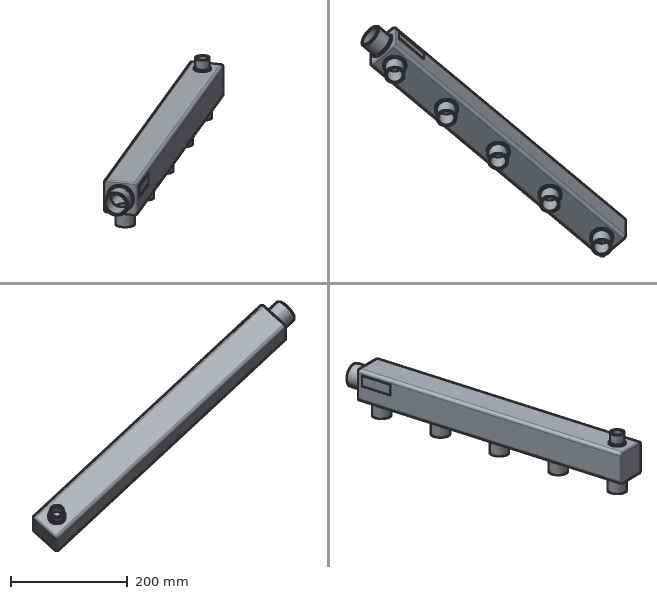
import cadquery as cq

tube_width = 60.0
tube_length = 560.0
corner_radius = 6.0
wall = 3.0
end_edge_fillet = 2.5

inlet_diameter = 42.5
inlet_bore = 36.5
inlet_length = 30.0
inlet_weld_diameter = 48.0
inlet_weld_height = 2.5
inlet_mouth_chamfer = 1.0

outlet_count = 5
outlet_pitch = 125.0
outlet_diameter = 33.5
outlet_bore = 28.0
outlet_length = 29.5
outlet_weld_diameter = 40.0
outlet_weld_height = 2.0

vent_diameter = 25.0
vent_bore = 19.0
vent_length = 20.0
vent_weld_diameter = 30.0
vent_weld_height = 2.65

plate_length = 60.0
plate_height = 20.0
plate_bottom = 1.0
plate_thickness = 0.5
plate_front_gap = 10.0

tube_side = tube_width / 2
tube_middle = tube_length / 2
outlet_span = (outlet_count - 1) * outlet_pitch
outlet_positions = [tube_middle - outlet_span / 2 + i * outlet_pitch for i in range(outlet_count)]
vent_position = outlet_positions[-1]


def rounded_bar(width, length, radius):
    """Square bar along Y, centred on the tube, with rounded long edges."""
    return (
        cq.Workplane("XY")
        .box(width, length, width)
        .edges("|Y")
        .fillet(radius)
        .translate((0, tube_middle, 0))
    )


def tube_outside():
    bar = rounded_bar(tube_width, tube_length, corner_radius)
    return bar.faces("<Y or >Y").edges().fillet(end_edge_fillet)


def cylinder(base, direction, diameter, length):
    return cq.Solid.makeCylinder(diameter / 2, length, cq.Vector(*base), cq.Vector(*direction))


def pipe_with_weld(base, direction, diameter, length, weld_diameter, weld_height):
    """Solid pipe standing on the tube wall, with a conical weld around its foot."""
    weld = cq.Solid.makeCone(
        weld_diameter / 2, diameter / 2, weld_height, cq.Vector(*base), cq.Vector(*direction)
    )
    return cylinder(base, direction, diameter, length).fuse(weld)


def pipe_bore(base, direction, diameter, length):
    """Bore from the open end of a pipe, through the tube wall into the cavity."""
    start = cq.Vector(*base) - cq.Vector(*direction) * (2 * wall)
    return cylinder(start.toTuple(), direction, diameter, length + 2 * wall)


def name_plate():
    """Thin plate sunk halfway into the tube wall, so that it joins the tube."""
    sunk_depth = wall / 2
    return (
        cq.Workplane("XY")
        .box(plate_thickness + sunk_depth, plate_length, plate_height, centered=False)
        .translate((tube_side - sunk_depth, plate_front_gap, plate_bottom))
    )


inlet = ((0, 0, 0), (0, -1, 0))
vent = ((0, vent_position, tube_side), (0, 0, 1))
outlets = [((0, y, -tube_side), (0, 0, -1)) for y in outlet_positions]

body = tube_outside().union(name_plate())
body = body.union(
    pipe_with_weld(*inlet, inlet_diameter, inlet_length, inlet_weld_diameter, inlet_weld_height)
)
body = body.union(pipe_with_weld(*vent, vent_diameter, vent_length, vent_weld_diameter, vent_weld_height))
for outlet in outlets:
    body = body.union(
        pipe_with_weld(*outlet, outlet_diameter, outlet_length, outlet_weld_diameter, outlet_weld_height)
    )

body = body.cut(rounded_bar(tube_width - 2 * wall, tube_length - 2 * wall, corner_radius - wall))
body = body.cut(pipe_bore(*inlet, inlet_bore, inlet_length))
body = body.cut(pipe_bore(*vent, vent_bore, vent_length))
for outlet in outlets:
    body = body.cut(pipe_bore(*outlet, outlet_bore, outlet_length))

result = body.faces("<Y").edges().chamfer(inlet_mouth_chamfer)